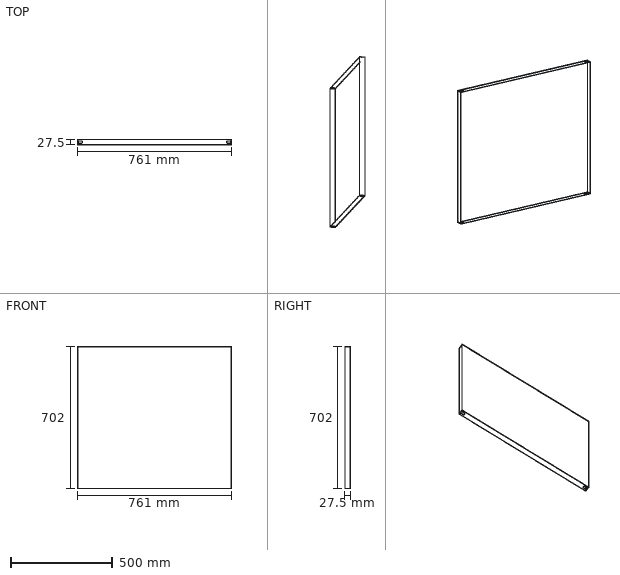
import cadquery as cq

width = 761.0
depth = 27.5
height = 702.0
sheet = 1.5

flange_inset = 0.4
flange_width = width - 2 * flange_inset
flange_height = height - 2 * flange_inset
flange_depth = depth - sheet

corner_notch = 1.15

slot_length = 20.5
slot_width = 10.0
slot_end_gap = 4.0
slot_x = width / 2 - slot_end_gap - slot_length / 2

back_plane = cq.Workplane("XZ", origin=(0, depth / 2, 0))


def make_front_sheet():
    """Flat rectangular sheet closing the front of the tray."""
    return cq.Workplane("XY").box(width, sheet, height).translate((0, (sheet - depth) / 2, 0))


def make_flanges():
    """Thin rectangular frame running back from the front sheet."""
    return (
        back_plane.rect(flange_width, flange_height)
        .rect(flange_width - 2 * sheet, flange_height - 2 * sheet)
        .extrude(flange_depth)
    )


def make_corner_notches():
    """One square bar at each outer corner of the flange frame."""
    return (
        back_plane.rect(flange_width - corner_notch, flange_height - corner_notch, forConstruction=True)
        .vertices()
        .rect(corner_notch, corner_notch)
        .extrude(flange_depth)
    )


def make_slots():
    """Vertical slot cutters near both ends of the top and bottom flanges."""
    return (
        cq.Workplane("XY")
        .pushPoints([(-slot_x, 0), (slot_x, 0)])
        .slot2D(slot_length, slot_width)
        .extrude(height, both=True)
    )


flanges = make_flanges().cut(make_corner_notches()).cut(make_slots())
result = make_front_sheet().union(flanges)